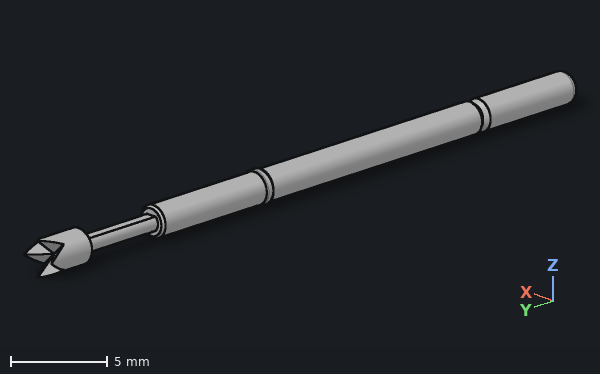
import cadquery as cq
import math

length = 38.7
tail_y = -length / 2
tip_y = length / 2

head_radius = 1.0
stem_radius = 0.5
barrel_radius = 0.91
ring_radius = 0.985
groove_floor_radius = 0.677

head_base_y = tip_y - 2.98
barrel_top_y = tip_y - 8.3
ring_y = tip_y - 16.05
groove_y = tail_y + 6.85

barrel_chamfer = 0.15
tail_fillet = 0.45
ring_width = 0.45
ring_fillet = 0.08
groove_width = 0.6
stem_flat_height = 0.4
tooth_depth = 1.2


def cylinder(radius, start_y, end_y):
    """Solid cylinder on the Y axis between two positions."""
    plane = cq.Workplane("XZ", origin=(0, start_y, 0))
    return plane.circle(radius).extrude(start_y - end_y)


def make_barrel():
    """Tube with a chamfered mouth, a rounded tail and a raised press ring."""
    barrel = cylinder(barrel_radius, tail_y, barrel_top_y)
    barrel = barrel.faces(">Y").chamfer(barrel_chamfer)
    barrel = barrel.faces("<Y").edges().fillet(tail_fillet)
    ring = cylinder(ring_radius, ring_y - ring_width / 2, ring_y + ring_width / 2)
    ring = ring.edges("%CIRCLE").fillet(ring_fillet)
    return barrel.union(ring)


def make_groove():
    """V-section ring cutter for the crimp groove."""
    half_width = groove_width / 2
    return (
        cq.Workplane("XY")
        .moveTo(barrel_radius, groove_y - half_width)
        .lineTo(groove_floor_radius, groove_y)
        .lineTo(barrel_radius, groove_y + half_width)
        .lineTo(head_radius, groove_y + half_width)
        .lineTo(head_radius, groove_y - half_width)
        .close()
        .revolve(360, (0, 0, 0), (0, 1, 0))
    )


def make_head():
    """Crown whose four teeth are left by two crossing V cuts on the diagonals."""
    head = cylinder(head_radius, head_base_y, tip_y)
    half_opening = head_radius * math.sin(math.radians(45))
    overshoot = 2
    valley_y = tip_y - tooth_depth
    v_cut = (
        cq.Workplane("XY")
        .moveTo(0, valley_y)
        .lineTo(overshoot * half_opening, valley_y + overshoot * tooth_depth)
        .lineTo(-overshoot * half_opening, valley_y + overshoot * tooth_depth)
        .close()
        .extrude(2 * head_radius, both=True)
    )
    for angle in (45, 135):
        head = head.cut(v_cut.rotate((0, 0, 0), (0, 1, 0), angle))
    return head


def make_stem():
    """Plunger stem with a flat along its upper (+Z) side."""
    stem = cylinder(stem_radius, barrel_top_y, head_base_y)
    above_flat = (
        cq.Workplane("XY", origin=(0, (barrel_top_y + head_base_y) / 2, stem_flat_height))
        .rect(2 * stem_radius, head_base_y - barrel_top_y)
        .extrude(stem_radius)
    )
    return stem.cut(above_flat)


result = make_barrel().cut(make_groove()).union(make_stem()).union(make_head())